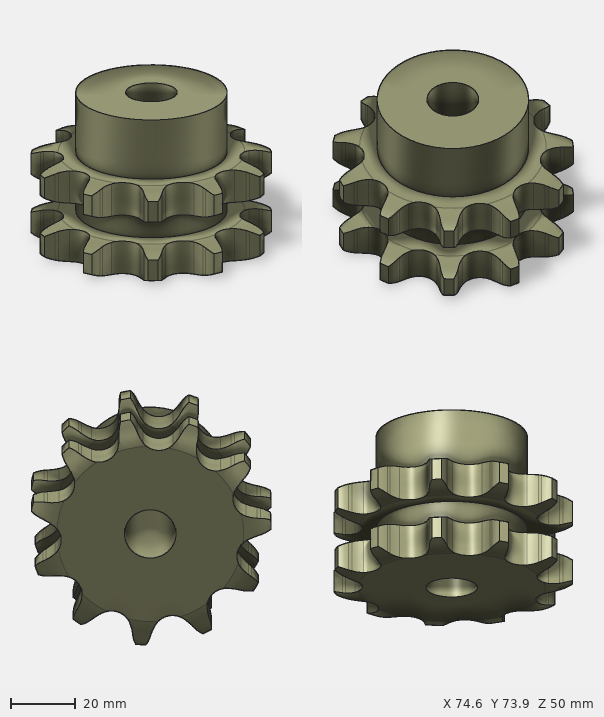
import cadquery as cq
import math


tooth_count = 11
chain_pitch = 19.0
roller_diameter = 12.1
tip_diameter = 75.0
plate_thickness = 10.8
plate_spacing = 19.5
hub_diameter = 47
bore_diameter = 16.0
total_height = 50
shoulder_radius = 28.95

seat_ratio = 1.005
working_offset_ratio = 0.8
tip_arc_offset_ratio = 1.4
seat_end_angle = math.radians(35 + 60 / tooth_count)
working_sweep = math.radians(18 - 56 / tooth_count)
flank_angle = seat_end_angle - working_sweep

half_step = math.pi / tooth_count
tip_radius = tip_diameter / 2
pitch_radius = chain_pitch / 2 / math.sin(half_step)
seat_radius = seat_ratio * roller_diameter / 2
relief_radius = chain_pitch
tip_run = tip_radius - shoulder_radius
tip_drop = relief_radius - math.sqrt(relief_radius**2 - tip_run**2)
cutter_margin = 3.7


def offset(point, length, angle):
    """Point at a given length and angle (radians) from another point."""
    return (point[0] + length * math.cos(angle), point[1] + length * math.sin(angle))


def mirrored(point):
    """Same point on the other side of the gap's centre line."""
    return (-point[0], point[1])


def gap_cutter():
    """Prism filling the tooth gap centred on +Y, shaped by the standard tooth form.

    Each flank is a roller seat, a concave working arc, a short straight and a convex tip arc.
    """
    roller_center = (0, pitch_radius)
    working_offset = working_offset_ratio * roller_diameter
    working_radius = seat_radius + working_offset
    working_center = offset(roller_center, working_offset, math.pi - seat_end_angle)
    tip_arc_center = offset(roller_center, tip_arc_offset_ratio * roller_diameter, -half_step)

    seat_bottom = offset(roller_center, seat_radius, -math.pi / 2)
    seat_end = offset(roller_center, seat_radius, -seat_end_angle)
    working_middle = offset(working_center, working_radius, -seat_end_angle + working_sweep / 2)
    working_end = offset(working_center, working_radius, -flank_angle)

    along = math.pi / 2 - flank_angle
    to_center = (tip_arc_center[0] - working_end[0], tip_arc_center[1] - working_end[1])
    straight_length = to_center[0] * math.cos(along) + to_center[1] * math.sin(along)
    tip_arc_radius = to_center[0] * math.sin(along) - to_center[1] * math.cos(along)
    straight_end = offset(working_end, straight_length, along)

    center_distance = math.hypot(*tip_arc_center)
    squares = center_distance**2 + tip_radius**2 - tip_arc_radius**2
    cos_turn = squares / (2 * center_distance * tip_radius)
    tip_angle = math.atan2(tip_arc_center[1], tip_arc_center[0]) + math.acos(cos_turn)
    tip_corner = offset((0, 0), tip_radius, tip_angle)
    straight_end_angle = math.pi - flank_angle
    tip_corner_angle = math.atan2(tip_corner[1] - tip_arc_center[1], tip_corner[0] - tip_arc_center[0])
    tip_arc_middle = offset(tip_arc_center, tip_arc_radius, (straight_end_angle + tip_corner_angle) / 2)
    outer_corner = offset(tip_corner, cutter_margin, tip_angle)

    return (
        cq.Workplane("XY")
        .moveTo(*outer_corner)
        .lineTo(*tip_corner)
        .threePointArc(tip_arc_middle, straight_end)
        .lineTo(*working_end)
        .threePointArc(working_middle, seat_end)
        .threePointArc(seat_bottom, mirrored(seat_end))
        .threePointArc(mirrored(working_middle), mirrored(working_end))
        .lineTo(*mirrored(straight_end))
        .threePointArc(mirrored(tip_arc_middle), mirrored(tip_corner))
        .lineTo(*mirrored(outer_corner))
        .close()
        .extrude(plate_thickness)
    )


def relieved_disc():
    """Toothless plate with both faces rounded off towards the tip circle."""
    middle_run = tip_run / 2
    middle_drop = relief_radius - math.sqrt(relief_radius**2 - middle_run**2)
    middle_radius = shoulder_radius + middle_run
    return (
        cq.Workplane("XZ")
        .lineTo(shoulder_radius, 0)
        .threePointArc((middle_radius, middle_drop), (tip_radius, tip_drop))
        .lineTo(tip_radius, plate_thickness - tip_drop)
        .threePointArc((middle_radius, plate_thickness - middle_drop), (shoulder_radius, plate_thickness))
        .lineTo(0, plate_thickness)
        .close()
        .revolve(360, (0, 0, 0), (0, 1, 0))
    )


def toothed_plate():
    """Plate with a tooth gap cut at every step, one of them centred on +Y."""
    plate = relieved_disc()
    cutter = gap_cutter()
    for index in range(tooth_count):
        plate = plate.cut(cutter.rotate((0, 0, 0), (0, 0, 1), index * 360 / tooth_count))
    return plate


plate = toothed_plate()
hub = cq.Workplane("XY").circle(hub_diameter / 2).extrude(total_height)
bore = cq.Workplane("XY").circle(bore_diameter / 2).extrude(total_height)

result = hub.union(plate).union(plate.translate((0, 0, plate_spacing))).cut(bore)